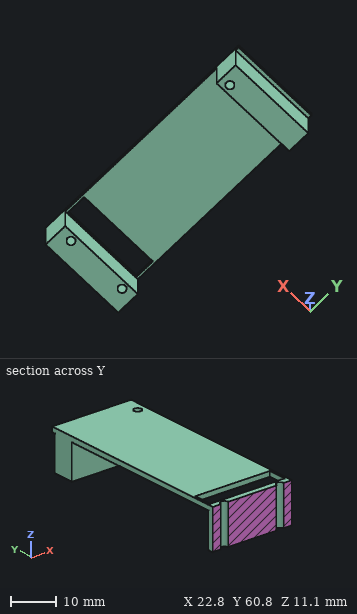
import cadquery as cq

plate_width = 22.8
plate_length = 60.8
plate_thickness = 1.45
total_height = 11.1
leg_height = total_height - plate_thickness

front_leg_depth = 6.2
front_leg_inset = 0.0
rear_leg_depth = 6.0
rear_leg_inset = 1.0

slot_side_margin = 0.65
slot_front = 6.3
slot_depth = 5.15

hole_diameter = 2.0
hole_centers = [(3.4, 4.6), (19.4, 4.6), (20.35, 55.6)]


def block(width, depth, height, x, y, z):
    """Box whose lowest corner sits at x, y, z."""
    return cq.Workplane("XY").box(width, depth, height, centered=False).translate((x, y, z))


plate = block(plate_width, plate_length, plate_thickness, 0, 0, leg_height)

front_leg = block(plate_width, front_leg_depth, leg_height, 0, front_leg_inset, 0)

rear_leg_front = plate_length - rear_leg_inset - rear_leg_depth
rear_leg = block(plate_width, rear_leg_depth, leg_height, 0, rear_leg_front, 0)

slot_width = plate_width - 2 * slot_side_margin
slot = block(slot_width, slot_depth, plate_thickness, slot_side_margin, slot_front, leg_height)

holes = (
    cq.Workplane("XY")
    .pushPoints(hole_centers)
    .circle(hole_diameter / 2)
    .extrude(total_height)
)

result = plate.union(front_leg).union(rear_leg).cut(slot).cut(holes)